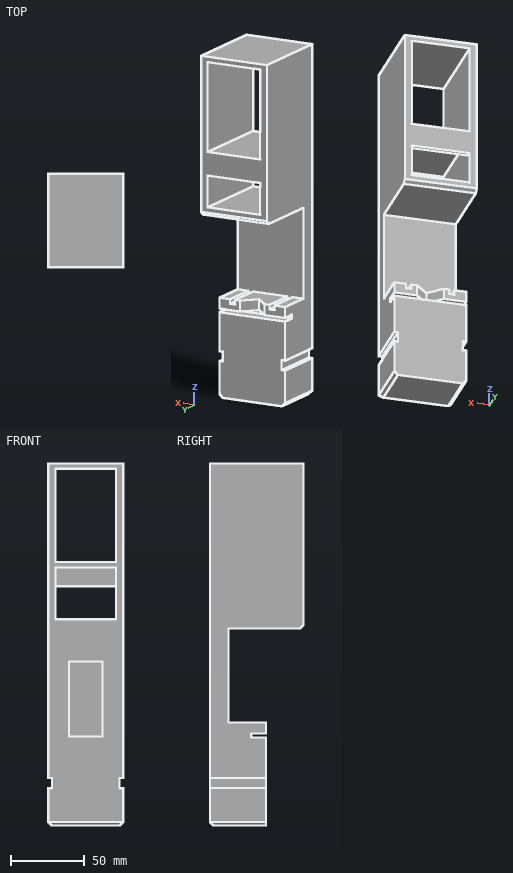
import cadquery as cq

WIDTH = 50.8
DEPTH = 63.5
HEIGHT = 245.11

COLUMN_DEPTH = 12.7
FOOT_DEPTH = 38.1
FOOT_HEIGHT = 69.85
HEAD_BOTTOM = 133.35
HEAD_CHAMFER = 2.54
BASE_CHAMFER = 2.54

COMPARTMENT_WIDTH = 40.64
SHELF_THICKNESS = 3.81
FLOOR_THICKNESS = 6.35
LOWER_HEIGHT = 34.925
LIP_THICKNESS = 3.81
LIP_DROP = 12.7

PANEL_WIDTH = 22.86
PANEL_HEIGHT = 50.8
PANEL_BOTTOM = 60.325
PANEL_DEPTH = 2.54

GROOVE_BOTTOM = 25.4
GROOVE_HEIGHT = 6.858
GROOVE_DEPTH = 2.54

SLOT_BOTTOM = 59.69
SLOT_HEIGHT = 2.54
SLOT_DEPTH = 9.906
CHANNEL_INNER = 13.335
CHANNEL_WIDTH = 3.81
CHANNEL_DEPTH = 3.175
NOTCH_HALF_WIDTH = 9.525

LOWER_BOTTOM = HEAD_BOTTOM + FLOOR_THICKNESS
LOWER_TOP = LOWER_BOTTOM + LOWER_HEIGHT
UPPER_BOTTOM = LOWER_TOP + SHELF_THICKNESS
UPPER_TOP = HEIGHT - SHELF_THICKNESS
PLATE_BOTTOM = SLOT_BOTTOM + SLOT_HEIGHT


def block(x_range, y_range, z_range):
    """Axis-aligned box between the given limits."""
    (x0, x1), (y0, y1), (z0, z1) = x_range, y_range, z_range
    return cq.Workplane("XY").box(x1 - x0, y1 - y0, z1 - z0, centered=False).translate((x0, y0, z0))


def centred(width):
    """X limits of a feature centred on the part."""
    return (-width / 2, width / 2)


def make_body():
    outline = [
        (0, 0),
        (FOOT_DEPTH, 0),
        (FOOT_DEPTH, FOOT_HEIGHT),
        (COLUMN_DEPTH, FOOT_HEIGHT),
        (COLUMN_DEPTH, HEAD_BOTTOM),
        (DEPTH - HEAD_CHAMFER, HEAD_BOTTOM),
        (DEPTH, HEAD_BOTTOM + HEAD_CHAMFER),
        (DEPTH, HEIGHT),
        (0, HEIGHT),
    ]
    body = cq.Workplane("YZ").polyline(outline).close().extrude(WIDTH / 2, both=True)
    return body.faces("<Z").edges("<Y or <X or >X").chamfer(BASE_CHAMFER)


def make_compartments():
    x_range = centred(COMPARTMENT_WIDTH)
    upper = block(x_range, (0, DEPTH), (UPPER_BOTTOM, UPPER_TOP))
    lower = block(x_range, (0, DEPTH), (LOWER_BOTTOM, LOWER_TOP))
    lip = block(x_range, (DEPTH - LIP_THICKNESS, DEPTH), (LOWER_TOP - LIP_DROP, LOWER_TOP))
    return upper.union(lower.cut(lip))


def make_panel_recess():
    return block(centred(PANEL_WIDTH), (0, PANEL_DEPTH), (PANEL_BOTTOM, PANEL_BOTTOM + PANEL_HEIGHT))


def make_side_grooves():
    z_range = (GROOVE_BOTTOM, GROOVE_BOTTOM + GROOVE_HEIGHT)
    slab = block(centred(WIDTH), (0, FOOT_DEPTH), z_range)
    core = block(centred(WIDTH - 2 * GROOVE_DEPTH), (0, FOOT_DEPTH), z_range)
    return slab.cut(core)


def make_latch_cuts():
    slot = block(centred(WIDTH), (FOOT_DEPTH - SLOT_DEPTH, FOOT_DEPTH), (SLOT_BOTTOM, PLATE_BOTTOM))
    channel = block(
        (CHANNEL_INNER, CHANNEL_INNER + CHANNEL_WIDTH),
        (COLUMN_DEPTH, FOOT_DEPTH),
        (FOOT_HEIGHT - CHANNEL_DEPTH, FOOT_HEIGHT),
    )
    notch = (
        cq.Workplane("XY", origin=(0, FOOT_DEPTH, PLATE_BOTTOM))
        .polyline([(-NOTCH_HALF_WIDTH, 0), (0, -NOTCH_HALF_WIDTH), (NOTCH_HALF_WIDTH, 0)])
        .close()
        .extrude(FOOT_HEIGHT - PLATE_BOTTOM)
    )
    return slot.union(channel).union(channel.mirror("YZ")).union(notch)


result = (
    make_body()
    .cut(make_compartments())
    .cut(make_panel_recess())
    .cut(make_side_grooves())
    .cut(make_latch_cuts())
)